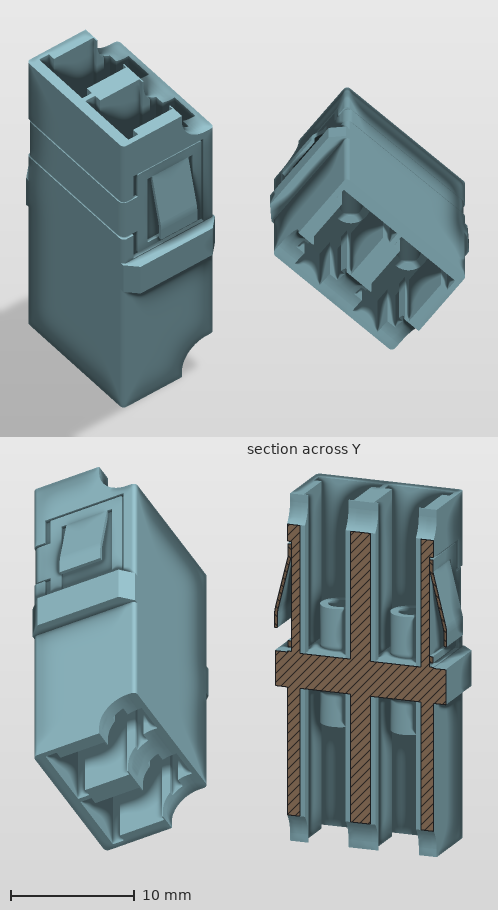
import cadquery as cq
import math


height = 29.35
depth = 9.35
width = 12.73
edge_radius = 0.38

flange_width = 14.85
flange_height = 3.0
flange_chamfer = 1.0

relief_depth = 3.32
relief_height = 3.17
relief_radius = 2.5

port_pitch = 6.1
web_thickness = flange_height
latch_half_width = 1.35
body_half_width = 2.17
rib_half_gap = 1.75
foot_half_width = 2.85
latch_top_y = 4.22
latch_shoulder_y = 2.95
rib_top_y = 2.02
rib_bottom_y = 1.25
foot_top_y = -2.75
foot_bottom_y = -3.75

sleeve_y = -1.3
sleeve_diameter = 3.25
sleeve_bore = 1.97
sleeve_length = 9.98

seat_side_depth = 0.35
seat_front_depth = 0.3
seat_corner_radius = 0.4
seat_half_y = 3.58
seat_bottom_z = 1.58
seat_top_z = 10.83
strap_clearance = 0.19

sheet = 0.3
strap_width = 3.8
strap_z = 6.28
strap_bend_radius = 0.6
plate_back_y = 3.4
plate_front_y = -3.1
plate_height = 8.75
plate_corner_radius = 0.12

tongue_y = 0.2
tongue_width = 3.7
window_width = 4.65
window_top_z = 9.6
window_bottom_z = 2.45
tongue_tip_z = 3.4
tongue_span = 15.0
tongue_angle = math.radians(14)
tongue_bend_radius = 2.8

seat_floor_x = width / 2 - seat_side_depth
seat_floor_y = -depth / 2 + seat_front_depth
clip_outer_x = seat_floor_x + sheet
clip_outer_y = seat_floor_y - sheet
tongue_reach = tongue_span / 2


def block(x_span, y_span, z_span):
    """Box between the given limits along each axis."""
    sizes = [high - low for low, high in (x_span, y_span, z_span)]
    lows = (x_span[0], y_span[0], z_span[0])
    return cq.Workplane("XY").box(*sizes, centered=False).translate(lows)


def across(y_span, z_span):
    """Box with the given Y and Z limits that runs right across the part in X."""
    return block((-flange_width, flange_width), y_span, z_span)


def u_prism(half_width, front_y, corner_radius):
    """Tall prism open towards +Y, with its two -Y edges rounded."""
    prism = block((-half_width, half_width), (front_y, depth), (-height, height))
    return prism.edges("|Z and <Y").fillet(corner_radius)


def mirrored_pair(shape, plane):
    """Shape together with its mirror image."""
    return shape.union(shape.mirror(plane))


def outer_block():
    """Rounded block with the chamfered flange around its middle."""
    body = cq.Workplane("XY").box(width, depth, height).edges("|Z").fillet(edge_radius)
    flange = cq.Workplane("XY").box(flange_width, depth, flange_height)
    return body.union(flange.edges("|Z").chamfer(flange_chamfer))


def latch_relief():
    """Rounded step cut from the +Y edge of the top end."""
    step = across((depth / 2 - relief_depth, depth), (height / 2 - relief_height, height))
    return step.edges("|X and <Y and <Z").fillet(relief_radius)


def port():
    """Stepped opening of one port, from the top end down to the web."""
    right_side = [
        (latch_half_width, latch_top_y),
        (latch_half_width, latch_shoulder_y),
        (body_half_width, latch_shoulder_y),
        (body_half_width, rib_top_y),
        (rib_half_gap, rib_top_y),
        (rib_half_gap, rib_bottom_y),
        (body_half_width, rib_bottom_y),
        (body_half_width, foot_top_y),
        (foot_half_width, foot_top_y),
        (foot_half_width, foot_bottom_y),
    ]
    left_side = [(-x, y) for x, y in reversed(right_side)]
    opening = cq.Workplane("XY").workplane(offset=web_thickness / 2)
    return opening.polyline(right_side + left_side).close().extrude(height / 2)


def z_cylinder(diameter, length):
    """Cylinder along Z on the axis of a sleeve, centred on the web."""
    disc = cq.Workplane("XY").center(0, sleeve_y).circle(diameter / 2)
    return disc.extrude(length / 2, both=True)


def clip_seat():
    """Recess in both sides, joined by a groove across the -Y face."""
    pocket = across((-seat_half_y, seat_half_y), (seat_bottom_z, seat_top_z))
    groove_half = strap_width / 2 + strap_clearance
    groove = across((-depth, 0), (strap_z - groove_half, strap_z + groove_half))
    return pocket.union(groove).cut(u_prism(seat_floor_x, seat_floor_y, seat_corner_radius))


def make_housing():
    """Housing with ports, web and sleeves mirrored about the middle."""
    body = outer_block().cut(mirrored_pair(latch_relief(), "XY"))
    ports = mirrored_pair(port(), "XY")
    sleeve = z_cylinder(sleeve_diameter, sleeve_length)
    bore = z_cylinder(sleeve_bore, height)
    for port_x in (-port_pitch / 2, port_pitch / 2):
        offset = (port_x, 0, 0)
        body = body.cut(ports.translate(offset))
        body = body.union(sleeve.translate(offset))
        body = body.cut(bore.translate(offset))
    return body.cut(clip_seat())


def spring_tongue():
    """Tongue of the +X plate: leans outwards, then bends to an upright tip."""
    normal_x = math.cos(tongue_angle)
    normal_z = math.sin(tongue_angle)
    bend_x = tongue_reach - tongue_bend_radius
    lean = bend_x + tongue_bend_radius * normal_x - clip_outer_x
    bend_z = window_top_z - lean / math.tan(tongue_angle) - tongue_bend_radius * normal_z

    def bend_point(radius, angle):
        return (bend_x + radius * math.cos(angle), bend_z + radius * math.sin(angle))

    inner_radius = tongue_bend_radius - sheet
    profile = (
        cq.Workplane("XZ", origin=(0, tongue_y, 0))
        .moveTo(clip_outer_x, window_top_z)
        .lineTo(*bend_point(tongue_bend_radius, tongue_angle))
        .threePointArc(
            bend_point(tongue_bend_radius, tongue_angle / 2),
            bend_point(tongue_bend_radius, 0),
        )
        .lineTo(tongue_reach, tongue_tip_z)
        .lineTo(tongue_reach - sheet, tongue_tip_z)
        .lineTo(*bend_point(inner_radius, 0))
        .threePointArc(
            bend_point(inner_radius, tongue_angle / 2),
            bend_point(inner_radius, tongue_angle),
        )
        .lineTo(clip_outer_x - sheet * normal_x, window_top_z - sheet * normal_z)
        .lineTo(clip_outer_x - sheet, window_top_z)
        .close()
    )
    return profile.extrude(tongue_width / 2, both=True)


def make_clip():
    """Sheet-metal clip: two side plates joined by a strap across the -Y face."""
    plate_z = (strap_z - plate_height / 2, strap_z + plate_height / 2)
    plates = across((plate_front_y, plate_back_y), plate_z).edges("|X").fillet(plate_corner_radius)
    strap = across((-depth, 0), (strap_z - strap_width / 2, strap_z + strap_width / 2))
    channel = u_prism(clip_outer_x, clip_outer_y, strap_bend_radius).cut(
        u_prism(seat_floor_x, seat_floor_y, strap_bend_radius - sheet)
    )
    window_y = (tongue_y - window_width / 2, tongue_y + window_width / 2)
    window = across(window_y, (window_bottom_z, window_top_z))
    window = window.edges("|X and <Z").fillet(plate_corner_radius)
    folded = plates.union(strap).intersect(channel).cut(window)
    return folded.union(mirrored_pair(spring_tongue(), "YZ"))


housing = make_housing()
clip = make_clip()
result = cq.Compound.makeCompound([housing.val(), clip.val()])